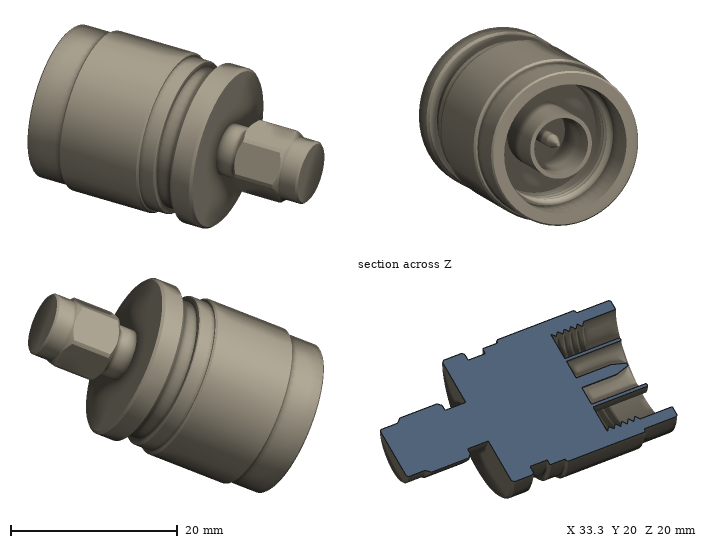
import cadquery as cq
import math


total_length = 33.3

rim_diameter = 19.1
rim_chamfer = 0.2
grip_diameter = 20.0
grip_start = 4.45
grip_end = 15.0
grip_chamfer = 0.22
collar_end = 17.0
collar_chamfer = 0.12
groove_diameter = 17.5

flange_diameter = 20.0
flange_start = 19.22
flange_end = 22.2
flange_chamfer = 0.3
neck_diameter = 6.4

nut_start = 24.9
nut_end = 30.9
nut_sides = 6
nut_across_flats = 8.0
nut_corner_diameter = 8.95
ferrule_diameter = 7.8
ferrule_chamfer = 0.22

bore_diameter = 15.88
thread_minor_diameter = 14.6
thread_start = 4.27
thread_pitch = 0.87
thread_turns = 5
socket_depth = thread_start + thread_turns * thread_pitch

contact_outer_diameter = 8.0
contact_inner_diameter = 6.98
contact_tip = 1.35
pin_diameter = 1.65
pin_tip_diameter = 0.45
pin_tip = 2.2
pin_taper_length = 1.8


def cylinder(diameter, start, end):
    """Solid cylinder on the X axis between two X positions."""
    return cq.Workplane("YZ", origin=(start, 0, 0)).circle(diameter / 2).extrude(end - start)


def revolve_profile(points):
    """Revolve a closed (X, radius) outline about the X axis."""
    return cq.Workplane("XY").polyline(points).close().revolve(360, (0, 0, 0), (1, 0, 0))


def make_sleeve():
    """Solid stepped sleeve: rim, grip, collar and the recess ahead of the flange."""
    rim = cylinder(rim_diameter, 0, grip_start + grip_chamfer).faces("<X").chamfer(rim_chamfer)
    grip = cylinder(grip_diameter, grip_start, grip_end).faces("<X or >X").chamfer(grip_chamfer)
    collar = cylinder(rim_diameter, grip_start, collar_end).faces(">X").chamfer(collar_chamfer)
    groove = cylinder(groove_diameter, grip_start, flange_end)
    return rim.union(grip).union(collar).union(groove)


def make_flange():
    flange = cylinder(flange_diameter, flange_start, flange_end)
    return flange.faces("<X or >X").chamfer(flange_chamfer)


def make_nut():
    """Hexagon with two flats facing up and down, its corners turned round and bevelled at 45 degrees."""
    across_corners = nut_across_flats / math.cos(math.pi / nut_sides)
    hexagon = (
        cq.Workplane("YZ", origin=(nut_start, 0, 0))
        .polygon(nut_sides, across_corners)
        .extrude(nut_end - nut_start)
    )
    corner_radius = nut_corner_diameter / 2
    front_radius = nut_across_flats / 2
    back_radius = ferrule_diameter / 2
    envelope = revolve_profile([
        (nut_start, 0),
        (nut_start, front_radius),
        (nut_start + corner_radius - front_radius, corner_radius),
        (nut_end - corner_radius + back_radius, corner_radius),
        (nut_end, back_radius),
        (nut_end, 0),
    ])
    return hexagon.intersect(envelope)


def make_ferrule():
    return cylinder(ferrule_diameter, nut_start, total_length).faces(">X").chamfer(ferrule_chamfer)


def make_socket_cavity():
    """Plain bore followed by V-shaped ring grooves that stand in for the thread."""
    bore_radius = bore_diameter / 2
    minor_radius = thread_minor_diameter / 2
    outline = [(0, 0), (0, bore_radius), (thread_start, bore_radius)]
    for turn in range(thread_turns):
        crest = thread_start + (turn + 0.5) * thread_pitch
        outline.append((crest, minor_radius))
        outline.append((crest + thread_pitch / 2, bore_radius))
    outline.append((socket_depth, 0))
    return revolve_profile(outline)


def make_contact():
    """Thin-walled tube standing on the socket floor."""
    contact = cylinder(contact_outer_diameter, contact_tip, socket_depth)
    return contact.cut(cylinder(contact_inner_diameter, contact_tip, socket_depth))


def make_pin():
    """Centre pin standing on the socket floor, tapered to a small flat tip."""
    return revolve_profile([
        (pin_tip, 0),
        (pin_tip, pin_tip_diameter / 2),
        (pin_tip + pin_taper_length, pin_diameter / 2),
        (socket_depth, pin_diameter / 2),
        (socket_depth, 0),
    ])


body = make_sleeve().cut(make_socket_cavity())
body = body.union(make_flange())
body = body.union(cylinder(neck_diameter, flange_end, nut_start))
body = body.union(make_nut()).union(make_ferrule())
result = body.union(make_contact()).union(make_pin())